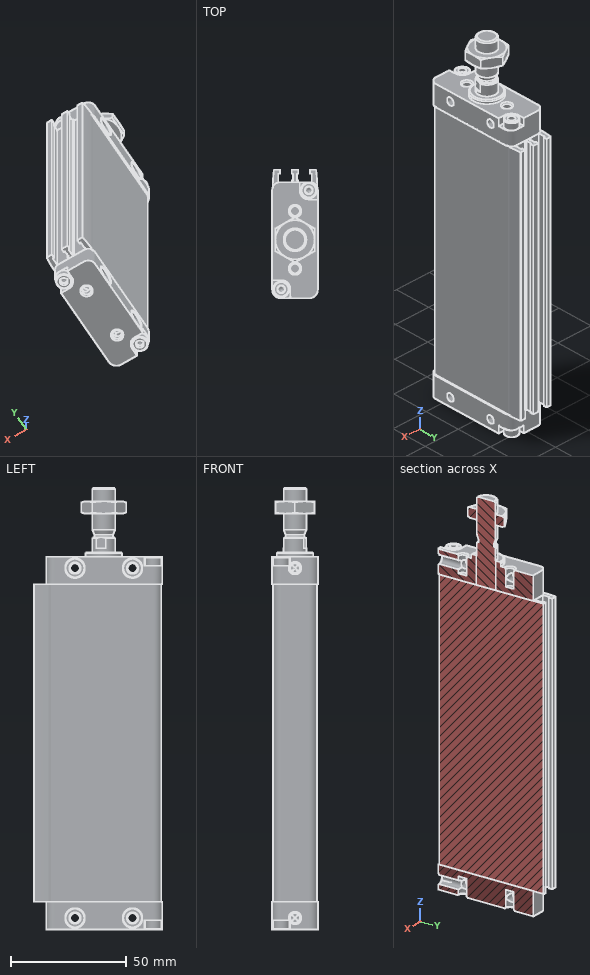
import cadquery as cq
import math

BLOCK_HEIGHT = 12.0
BARREL_LENGTH = 138.0
HEAD_BASE = BLOCK_HEIGHT + BARREL_LENGTH
HEAD_TOP = HEAD_BASE + BLOCK_HEIGHT
ROD_TOP = 192.0

BLOCK_WIDTH = 20.0
BLOCK_FRONT = -25.5
BLOCK_BACK = 25.0
BLOCK_FRONT_RADIUS = 4.0
BLOCK_BACK_RADIUS = 3.5

BARREL_SIDE_SETBACK = 0.6
BARREL_FRONT_SETBACK = 0.5
BARREL_HALF_WIDTH = BLOCK_WIDTH / 2 - BARREL_SIDE_SETBACK
BARREL_FRONT = BLOCK_FRONT + BARREL_FRONT_SETBACK
BARREL_CORNER_RADIUS = BLOCK_FRONT_RADIUS - BARREL_SIDE_SETBACK
RAIL_BACK = 30.5
RAIL_LIP_START = 28.6
FLARE_START = 22.85
FLARE_END = 24.0
FLARE_HALF_WIDTH = 9.7
RAIL_TIP_HALF_WIDTH = 9.25
RAIL_SIDE_BULGE = 0.07
RAIL_TIP_CHAMFER = 0.3
OUTER_STEM_INSIDE = 7.2
OUTER_LIP_INSIDE = 6.5
CENTRE_STEM_HALF_WIDTH = 0.9
CENTRE_LIP_HALF_WIDTH = 1.5
CENTRE_FOOT_HALF_WIDTH = 1.5
CENTRE_FOOT_HEIGHT = 0.8

SCREW_X = BLOCK_WIDTH / 2 - BLOCK_FRONT_RADIUS
SCREW_Y = 21.5
SCREW_HEAD_DIAMETER = 7.0
SCREW_HEAD_HEIGHT = 4.0
SCREW_HEAD_CHAMFER = 0.4
SCREW_POCKET_RADIUS = 4.0
SOCKET_DIAMETER = 3.5
SOCKET_CONE_DIAMETER = 3.0
SOCKET_DEPTH = 2.0
SOCKET_CONE_DEPTH = 0.75

THREAD_DIAMETER = 5.0
THREAD_CORE_DIAMETER = 4.13
THREAD_MOUTH_DIAMETER = 5.5
THREAD_CHAMFER = (THREAD_MOUTH_DIAMETER - THREAD_CORE_DIAMETER) / 2
PORT_HEIGHT = 5.0
END_HOLE_DEPTH = 9.0

MOUNT_HOLE_Y = 12.5
COUNTERBORE_DIAMETER = 8.0
COUNTERBORE_MOUTH_DIAMETER = 8.65
COUNTERBORE_DEPTH = 4.2
MOUNT_HOLE_CHAMFER = (THREAD_DIAMETER - THREAD_CORE_DIAMETER) / 2

COLLAR_DIAMETER = 16.0
COLLAR_HEIGHT = 2.0
COLLAR_CHAMFER = 0.6

ROD_DIAMETER = 10.0
ROD_TIP_DIAMETER = 8.65
ROD_TIP_CHAMFER = (ROD_DIAMETER - ROD_TIP_DIAMETER) / 2
NECK_DIAMETER = 8.2
SHOULDER_CHAMFER = 0.5
SHOULDER_TOP = 170.4
NECK_TOP = 171.4
THREAD_START = 173.7
WRENCH_FLAT_WIDTH = 9.0
WRENCH_FLAT_BASE = 165.7
WRENCH_FLAT_ANGLE = -15.0

NUT_SIDES = 6
NUT_WIDTH = 17.0
NUT_BASE = 180.7
NUT_TOP = 186.0
NUT_CHAMFER_ANGLE = 20.0


def cylinder(diameter, base, height):
    """Cylinder on the Z axis, standing on the height `base`."""
    return cq.Workplane("XY", origin=(0, 0, base)).circle(diameter / 2).extrude(height)


def drill(profile, mouth, direction):
    """Hole tool turned from (radius, depth) points, starting at `mouth` and going along `direction`."""
    across = (0, 0, 1) if direction[2] == 0 else (1, 0, 0)
    plane = cq.Plane(origin=mouth, xDir=across, normal=cq.Vector(*across).cross(cq.Vector(*direction)))
    return cq.Workplane(plane).polyline(profile).close().revolve(360, (0, 0), (0, 1))


def screw_head():
    """Socket screw head with its base at Z = 0 and its socket opening upwards."""
    head = cylinder(SCREW_HEAD_DIAMETER, 0, SCREW_HEAD_HEIGHT).faces(">Z").chamfer(SCREW_HEAD_CHAMFER)
    socket_floor = SCREW_HEAD_HEIGHT - SOCKET_DEPTH
    socket = cylinder(SOCKET_DIAMETER, socket_floor, SOCKET_DEPTH)
    tip = drill(
        [(0, 0), (SOCKET_CONE_DIAMETER / 2, 0), (0, SOCKET_CONE_DEPTH)], (0, 0, socket_floor), (0, 0, -1)
    )
    return head.cut(socket).cut(tip)


def screw_pocket():
    """Corner pocket around a front left screw: open to the front and the left, rounded inside."""
    return (
        cq.Workplane("XY")
        .rect(2 * SCREW_POCKET_RADIUS, 2 * SCREW_POCKET_RADIUS)
        .extrude(SCREW_HEAD_HEIGHT)
        .edges("|Z and >X and >Y")
        .fillet(SCREW_POCKET_RADIUS)
    )


def mounting_hole(y, z):
    """Hole across the block, counterbored and chamfered at the left side."""
    mouth_radius = COUNTERBORE_MOUTH_DIAMETER / 2
    bore_radius = COUNTERBORE_DIAMETER / 2
    core_radius = THREAD_CORE_DIAMETER / 2
    profile = [
        (0, 0),
        (mouth_radius, 0),
        (bore_radius, mouth_radius - bore_radius),
        (bore_radius, COUNTERBORE_DEPTH),
        (THREAD_DIAMETER / 2, COUNTERBORE_DEPTH),
        (core_radius, COUNTERBORE_DEPTH + MOUNT_HOLE_CHAMFER),
        (core_radius, BLOCK_WIDTH),
        (0, BLOCK_WIDTH),
    ]
    return drill(profile, (-BLOCK_WIDTH / 2, y, z), (1, 0, 0))


def port(z):
    """Chamfered air port in the front face, running into the front mounting hole."""
    depth = -MOUNT_HOLE_Y - BLOCK_FRONT
    core_radius = THREAD_CORE_DIAMETER / 2
    profile = [
        (0, 0),
        (THREAD_MOUTH_DIAMETER / 2, 0),
        (core_radius, THREAD_CHAMFER),
        (core_radius, depth),
        (0, depth),
    ]
    return drill(profile, (0, BLOCK_FRONT, z), (0, 1, 0))


def end_hole(y):
    """Chamfered threaded hole in the outer end face, crossing a mounting hole, with a flat floor."""
    core_radius = THREAD_CORE_DIAMETER / 2
    profile = [
        (0, 0),
        (THREAD_MOUTH_DIAMETER / 2, 0),
        (core_radius, THREAD_CHAMFER),
        (core_radius, END_HOLE_DEPTH),
        (0, END_HOLE_DEPTH),
    ]
    return drill(profile, (0, y, BLOCK_HEIGHT), (0, 0, -1))


def end_block():
    """Upward-facing end block with its inner face at Z = 0: screws, port and holes included."""
    hole_height = BLOCK_HEIGHT - PORT_HEIGHT
    screw_base = BLOCK_HEIGHT - SCREW_HEAD_HEIGHT
    block = (
        cq.Workplane("XY")
        .center(0, (BLOCK_FRONT + BLOCK_BACK) / 2)
        .rect(BLOCK_WIDTH, BLOCK_BACK - BLOCK_FRONT)
        .extrude(BLOCK_HEIGHT)
        .edges("|Z and <Y")
        .fillet(BLOCK_FRONT_RADIUS)
        .edges("|Z and >Y")
        .fillet(BLOCK_BACK_RADIUS)
    )
    block = block.cut(port(hole_height))
    for y in (-MOUNT_HOLE_Y, MOUNT_HOLE_Y):
        block = block.cut(mounting_hole(y, hole_height)).cut(end_hole(y))
    for x, y, turn in ((-SCREW_X, -SCREW_Y, 0), (SCREW_X, SCREW_Y, 180)):
        place = cq.Location(cq.Vector(x, y, screw_base), cq.Vector(0, 0, 1), turn)
        block = block.cut(cq.Workplane(screw_pocket().val().moved(place)))
        block = block.union(cq.Workplane(screw_head().val().moved(place)))
    return block


def build_head():
    """Rod-side end block with the collar and the rod bore."""
    head = end_block().translate((0, 0, HEAD_BASE))
    collar = cylinder(COLLAR_DIAMETER, HEAD_TOP, COLLAR_HEIGHT).faces(">Z").chamfer(COLLAR_CHAMFER)
    head = head.union(collar)
    head = head.cut(cylinder(ROD_DIAMETER, HEAD_BASE, BLOCK_HEIGHT + COLLAR_HEIGHT))
    return head


def build_end_cap():
    """Closed-side end block: the same block as the head's, facing down."""
    return end_block().mirror("XY").translate((0, 0, BLOCK_HEIGHT))


def build_barrel():
    """Profile tube section with three lipped rails along the back."""
    side = BARREL_HALF_WIDTH
    foot_top = BLOCK_BACK + CENTRE_FOOT_HEIGHT
    side_end = RAIL_BACK - RAIL_TIP_CHAMFER
    side_middle_x = (FLARE_HALF_WIDTH + RAIL_TIP_HALF_WIDTH) / 2 + RAIL_SIDE_BULGE
    side_middle_y = (FLARE_END + side_end) / 2
    slot_outline = [
        (RAIL_TIP_HALF_WIDTH - RAIL_TIP_CHAMFER, RAIL_BACK),
        (OUTER_LIP_INSIDE, RAIL_BACK),
        (OUTER_LIP_INSIDE, RAIL_LIP_START),
        (OUTER_STEM_INSIDE, RAIL_LIP_START),
        (OUTER_STEM_INSIDE, BLOCK_BACK),
        (CENTRE_FOOT_HALF_WIDTH, BLOCK_BACK),
        (CENTRE_FOOT_HALF_WIDTH, foot_top),
        (CENTRE_STEM_HALF_WIDTH, foot_top),
        (CENTRE_STEM_HALF_WIDTH, RAIL_LIP_START),
        (CENTRE_LIP_HALF_WIDTH, RAIL_LIP_START),
        (CENTRE_LIP_HALF_WIDTH, RAIL_BACK),
        (0, RAIL_BACK),
    ]
    right_half = (
        cq.Workplane("XY", origin=(0, 0, BLOCK_HEIGHT))
        .moveTo(0, BARREL_FRONT)
        .lineTo(side, BARREL_FRONT)
        .lineTo(side, FLARE_START)
        .lineTo(FLARE_HALF_WIDTH, FLARE_END)
        .threePointArc((side_middle_x, side_middle_y), (RAIL_TIP_HALF_WIDTH, side_end))
    )
    for point in slot_outline:
        right_half = right_half.lineTo(*point)
    right_half = right_half.close().extrude(BARREL_LENGTH)
    barrel = right_half.union(right_half.mirror("YZ")).clean()
    return barrel.edges("|Z and <Y").fillet(BARREL_CORNER_RADIUS)


def build_rod():
    """Turned piston rod with a necked thread run-out and two wrench flats."""
    radius = ROD_DIAMETER / 2
    neck_radius = NECK_DIAMETER / 2
    flat_top = SHOULDER_TOP - SHOULDER_CHAMFER
    profile = [
        (0, HEAD_BASE),
        (radius, HEAD_BASE),
        (radius, flat_top),
        (radius - SHOULDER_CHAMFER, SHOULDER_TOP),
        (neck_radius, SHOULDER_TOP),
        (neck_radius, NECK_TOP),
        (radius, THREAD_START),
        (radius, ROD_TOP - ROD_TIP_CHAMFER),
        (ROD_TIP_DIAMETER / 2, ROD_TOP),
        (0, ROD_TOP),
    ]
    rod = cq.Workplane("XZ").polyline(profile).close().revolve(360, (0, 0), (0, 1))
    cutter_height = SHOULDER_TOP - WRENCH_FLAT_BASE
    cutter = cq.Workplane("XY", origin=(0, 0, WRENCH_FLAT_BASE)).box(
        radius, ROD_DIAMETER, cutter_height, centered=(False, True, False)
    )
    cutter = cutter.translate((WRENCH_FLAT_WIDTH / 2, 0, 0))
    for turn in (WRENCH_FLAT_ANGLE, WRENCH_FLAT_ANGLE + 180):
        rod = rod.cut(cutter.rotate((0, 0, 0), (0, 0, 1), turn))
    return rod


def build_nut():
    """Hexagon lock nut with its corners chamfered at both faces and flats facing left and right."""
    height = NUT_TOP - NUT_BASE
    face_radius = NUT_WIDTH / 2
    corner_radius = face_radius / math.cos(math.pi / NUT_SIDES)
    drop = (corner_radius - face_radius) * math.tan(math.radians(NUT_CHAMFER_ANGLE))
    nut = (
        cq.Workplane("XY", origin=(0, 0, NUT_BASE))
        .polygon(NUT_SIDES, NUT_WIDTH, circumscribed=True)
        .extrude(height)
    )
    envelope = cylinder(2 * corner_radius, NUT_BASE, height).edges().chamfer(
        drop, corner_radius - face_radius
    )
    return nut.intersect(envelope).cut(cylinder(ROD_DIAMETER, NUT_BASE, height))


barrel = build_barrel()
head = build_head()
end_cap = build_end_cap()
rod = build_rod()
nut = build_nut()

result = cq.Compound.makeCompound([barrel.val(), head.val(), end_cap.val(), rod.val(), nut.val()])